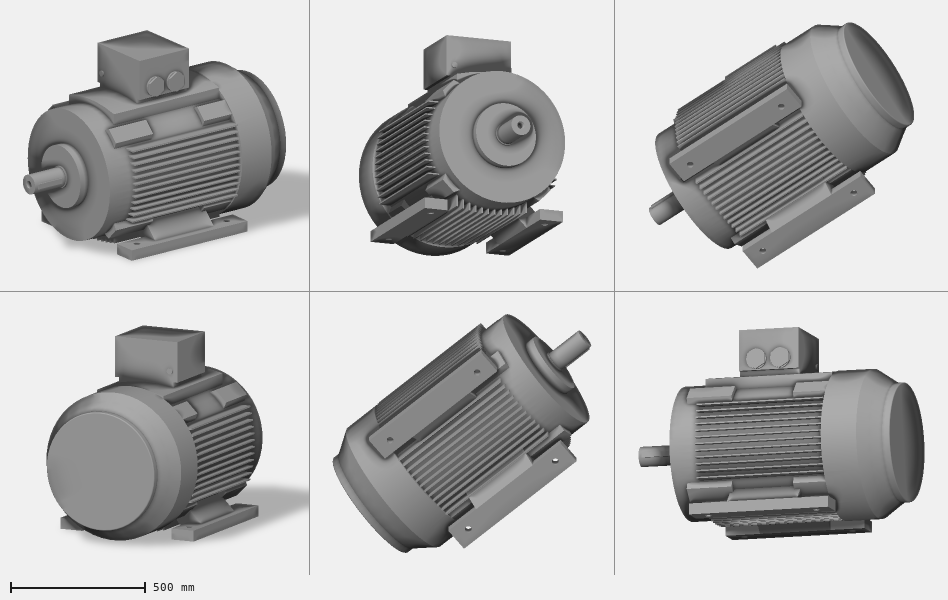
import cadquery as cq
import math


axis_height = 280.0
box_top = 434.0

housing_radius = 252.0
fins_start = 105.0
cover_start = 597.0
cone_start = 734.0
ring_start = 818.0
rear_end = 847.0
cover_radius = axis_height
ring_diameter = 447.0
ring_radius = ring_diameter / 2
ring_fillet = 4.0

boss_radius = 120.0
boss_length = 37.0
collar_radius = 42.0
collar_length = 7.0
shaft_diameter = 75.0
shaft_radius = shaft_diameter / 2
shaft_length = 186.0
key_width = 20.0
key_top = 42.0
key_bottom = 30.0
key_start = 62.0
key_length = 111.0
centre_hole_radius = 10.0
centre_hole_mouth_radius = 14.0
centre_hole_mouth_angle = 60
centre_hole_depth = 31.0

crown_peak = 273.0
crown_edge = 254.0
crown_half_width = 138.0

fin_count = 12
fin_pitch = 2 * crown_half_width / (fin_count - 1)
fin_thickness = 5.0

pad_top = 274.0
pad_base = 238.0
pad_top_half_width = 31.0
pad_side_slope = 0.4
front_pad_start = 56.0
front_pad_end = 230.0
rear_pad_start = 469.0

foot_inner = 185.0
foot_outer = 277.0
foot_height = 41.0
foot_start = 84.0
foot_end = 625.0
foot_hole_radius = 12.0
foot_hole_x = 228.0
foot_hole_inset = 61.0
leg_start = 218.0
leg_end = 492.0
leg_outer = 243.0
leg_run = 103.0

box_half_width = 129.0
box_start = 232.0
box_end = 464.0
box_bottom = 280.0
neck_half_width = 114.0
neck_bottom = 227.0
fitting_height = 321.0
screw_x = -99.0
screw_radius = 11.0
screw_head = 6.0
gland_offset = 46.0
gland_neck_radius = 38.0
gland_neck_length = 8.0
gland_nut_corner_radius = 38.0
gland_nut_thickness = 8.0


def block(x_range, y_range, z_range):
    """Box spanning the given (low, high) ranges."""
    size = [high - low for low, high in (x_range, y_range, z_range)]
    corner = (x_range[0], y_range[0], z_range[0])
    return cq.Workplane("XY").box(*size, centered=False).translate(corner)


def section(y):
    """Plane square to the shaft at the given Y: local x is X, local y is Z, normal is -Y."""
    return cq.Workplane("XZ", origin=(0, y, 0))


def turn(angle, shape):
    """Rotate a shape about the shaft axis."""
    return shape.rotate((0, 0, 0), (0, 1, 0), angle)


def make_body():
    """Housing, boss, collar, shaft and fan cover turned about the shaft axis."""
    boss_end = -boss_length
    collar_end = boss_end - collar_length
    profile = [
        (-shaft_length, 0),
        (-shaft_length, shaft_radius),
        (collar_end, shaft_radius),
        (collar_end, collar_radius),
        (boss_end, collar_radius),
        (boss_end, boss_radius),
        (0, boss_radius),
        (0, housing_radius),
        (cover_start, housing_radius),
        (cover_start, cover_radius),
        (cone_start, cover_radius),
        (ring_start, ring_radius),
        (rear_end, ring_radius),
        (rear_end, 0),
    ]
    body = cq.Workplane("YZ").polyline(profile).close().revolve(360, (0, 0, 0), (1, 0, 0))
    return body.faces(">Y").edges().fillet(ring_fillet)


def make_key():
    """Rectangular key on the +X side of the shaft."""
    key_near = -key_start
    return block(
        (key_bottom, key_top),
        (key_near - key_length, key_near),
        (-key_width / 2, key_width / 2),
    )


def make_centre_hole():
    """Centre hole in the shaft end with a countersunk mouth and a pointed bottom."""
    mouth_slope = math.tan(math.radians(centre_hole_mouth_angle / 2))
    mouth_depth = (centre_hole_mouth_radius - centre_hole_radius) / mouth_slope
    tip_depth = centre_hole_depth + centre_hole_radius
    profile = [
        (-shaft_length, 0),
        (-shaft_length, centre_hole_mouth_radius),
        (-shaft_length + mouth_depth, centre_hole_radius),
        (-shaft_length + centre_hole_depth, centre_hole_radius),
        (-shaft_length + tip_depth, 0),
    ]
    return cq.Workplane("YZ").polyline(profile).close().revolve(360, (0, 0, 0), (1, 0, 0))


def make_top_pad():
    """Crowned pad under the terminal box."""
    return (
        section(cover_start)
        .moveTo(-crown_half_width, 0)
        .lineTo(-crown_half_width, crown_edge)
        .threePointArc((0, crown_peak), (crown_half_width, crown_edge))
        .lineTo(crown_half_width, 0)
        .close()
        .extrude(cover_start - fins_start)
    )


def make_upright_fins():
    """One bank of parallel fins standing up to the crown above the housing."""
    fins = cq.Workplane("XY")
    for index in range(fin_count):
        x = index * fin_pitch - crown_half_width
        fins = fins.add(
            block(
                (x - fin_thickness / 2, x + fin_thickness / 2),
                (fins_start, cover_start),
                (0, crown_peak),
            )
        )
    crown_limit = make_top_pad().union(
        block(
            (-crown_half_width - fin_thickness, crown_half_width + fin_thickness),
            (fins_start, cover_start),
            (0, crown_edge),
        )
    )
    return fins.combine().intersect(crown_limit)


def make_pad(angle, y_start, y_end):
    """Trapezoidal pad on the housing, turned from the top by the given angle."""
    base_half_width = pad_top_half_width + pad_side_slope * (pad_top - pad_base)
    pad = (
        section(y_end)
        .polyline([
            (-base_half_width, pad_base),
            (-pad_top_half_width, pad_top),
            (pad_top_half_width, pad_top),
            (base_half_width, pad_base),
        ])
        .close()
        .extrude(y_end - y_start)
    )
    return turn(angle, pad)


def make_foot():
    """Foot bar with two bolt holes and a sloping leg, on the +X side."""
    foot_top = foot_height - axis_height
    bar = block((foot_inner, foot_outer), (foot_start, foot_end), (-axis_height, foot_top))
    hole_places = [
        (foot_hole_x, foot_start + foot_hole_inset),
        (foot_hole_x, foot_end - foot_hole_inset),
    ]
    holes = (
        cq.Workplane("XY", origin=(0, 0, -axis_height))
        .pushPoints(hole_places)
        .circle(foot_hole_radius)
        .extrude(foot_height)
    )
    leg = (
        section(leg_end)
        .polyline([
            (foot_inner, -axis_height),
            (leg_outer, foot_top),
            (leg_outer - leg_run, foot_top + leg_run),
            (foot_inner - leg_run, leg_run - axis_height),
        ])
        .close()
        .extrude(leg_end - leg_start)
    )
    return bar.cut(holes).union(leg)


def make_gland(y):
    """Cable gland on the +X side of the terminal box: round neck and hexagon nut."""
    nut_start = box_half_width + gland_neck_length
    neck = (
        cq.Workplane("YZ", origin=(box_half_width, y, fitting_height))
        .circle(gland_neck_radius)
        .extrude(gland_neck_length)
    )
    nut = (
        cq.Workplane("YZ", origin=(nut_start, y, fitting_height))
        .transformed(rotate=(0, 0, 90))
        .polygon(6, 2 * gland_nut_corner_radius)
        .extrude(gland_nut_thickness)
    )
    return neck.union(nut)


def make_terminal_box():
    """Terminal box on its neck, with two glands and an earth screw at each end."""
    box_span = (box_start, box_end)
    box = block((-box_half_width, box_half_width), box_span, (box_bottom, box_top))
    neck = block((-neck_half_width, neck_half_width), box_span, (neck_bottom, box_bottom))
    screws = (
        section(box_end + screw_head)
        .center(screw_x, fitting_height)
        .circle(screw_radius)
        .extrude(box_end - box_start + 2 * screw_head)
    )
    box = box.union(neck).union(screws)
    box_middle = (box_start + box_end) / 2
    for side in (-1, 1):
        box = box.union(make_gland(box_middle + side * gland_offset))
    return box


motor = make_body().union(make_key()).cut(make_centre_hole())
motor = motor.union(make_top_pad()).union(make_terminal_box())

upright_fins = make_upright_fins()
for bank_angle in (90, 180, 270):
    motor = motor.union(turn(bank_angle, upright_fins))

for pad_angle in (45, 135, 225, 315):
    motor = motor.union(make_pad(pad_angle, front_pad_start, front_pad_end))
    motor = motor.union(make_pad(pad_angle, rear_pad_start, cover_start))

right_foot = make_foot()
result = motor.union(right_foot).union(right_foot.mirror("YZ"))